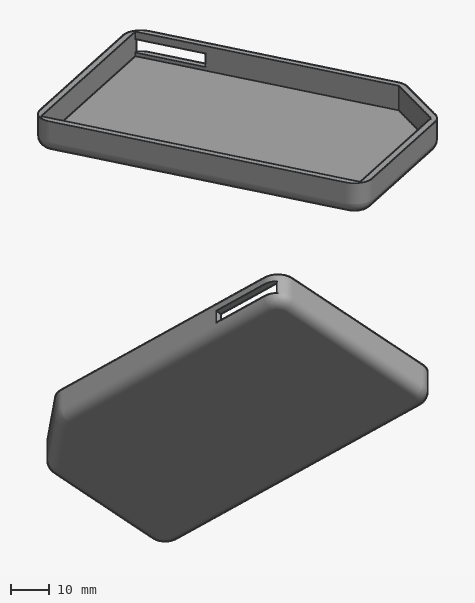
import cadquery as cq

length = 95.0
width = 60.0
height = 9.0
wall = 1.9
floor_thickness = 2.0
corner_radius = 5.0
bottom_radius = 3.0

slope_run = 15.9
slope_rise = 14.0

window_length = 20.0
window_height = 3.8
window_bottom = bottom_radius

cavity_half_length = length / 2 - wall
cavity_half_width = width / 2 - wall


def cavity_outline(z):
    """Rectangle with one corner cut off, at height z."""
    return cq.Workplane("XY", origin=(0, 0, z)).polyline([
        (-cavity_half_length, -cavity_half_width),
        (cavity_half_length, -cavity_half_width),
        (cavity_half_length, cavity_half_width - slope_rise),
        (cavity_half_length - slope_run, cavity_half_width),
        (-cavity_half_length, cavity_half_width),
    ]).close()


def make_body():
    """Solid block offset outward from the cavity, with rounded edges."""
    block = cavity_outline(0).offset2D(wall, "intersection").extrude(height)
    return block.edges("|Z").fillet(corner_radius).faces("<Z").edges().fillet(bottom_radius)


def make_cavity():
    return cavity_outline(floor_thickness).extrude(height - floor_thickness)


def make_window():
    """Box that passes through the +Y wall only."""
    return (
        cq.Workplane("XY")
        .box(window_length, wall, window_height, centered=False)
        .translate((-cavity_half_length, cavity_half_width, window_bottom))
    )


result = make_body().cut(make_cavity()).cut(make_window())